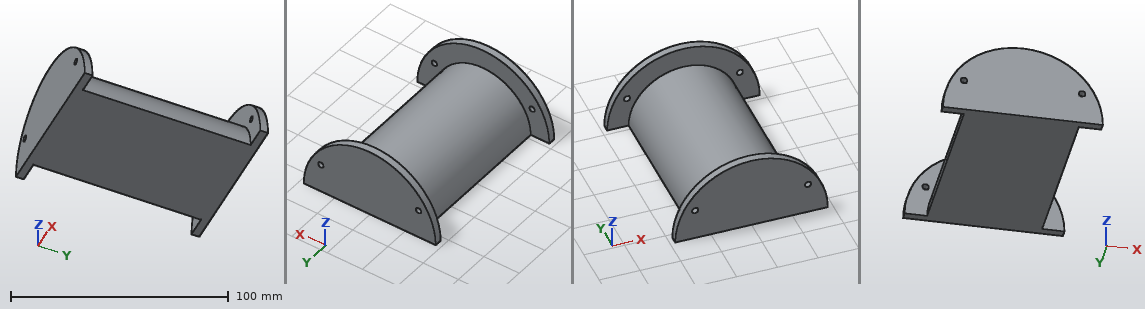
import cadquery as cq
import math

total_length = 93.0
flange_radius = 37.5
flange_thickness = 4.0
barrel_radius = 27.0
hole_diameter = 3.0
hole_circle_radius = 32.0
hole_angle = 30.0


def half_cylinder(radius, length, start_y):
    """Solid half cylinder above Z = 0, extending from start_y toward +Y."""
    return (
        cq.Workplane("XZ", origin=(0, start_y, 0))
        .moveTo(-radius, 0)
        .threePointArc((0, radius), (radius, 0))
        .close()
        .extrude(-length)
    )


front_y = -total_length / 2
back_flange_y = total_length / 2 - flange_thickness

barrel = half_cylinder(barrel_radius, total_length, front_y)
front_flange = half_cylinder(flange_radius, flange_thickness, front_y)
back_flange = half_cylinder(flange_radius, flange_thickness, back_flange_y)
spool = barrel.union(front_flange).union(back_flange)

hole_x = hole_circle_radius * math.cos(math.radians(hole_angle))
hole_z = hole_circle_radius * math.sin(math.radians(hole_angle))
holes = (
    cq.Workplane("XZ", origin=(0, front_y, 0))
    .pushPoints([(-hole_x, hole_z), (hole_x, hole_z)])
    .circle(hole_diameter / 2)
    .extrude(-total_length)
)

result = spool.cut(holes)